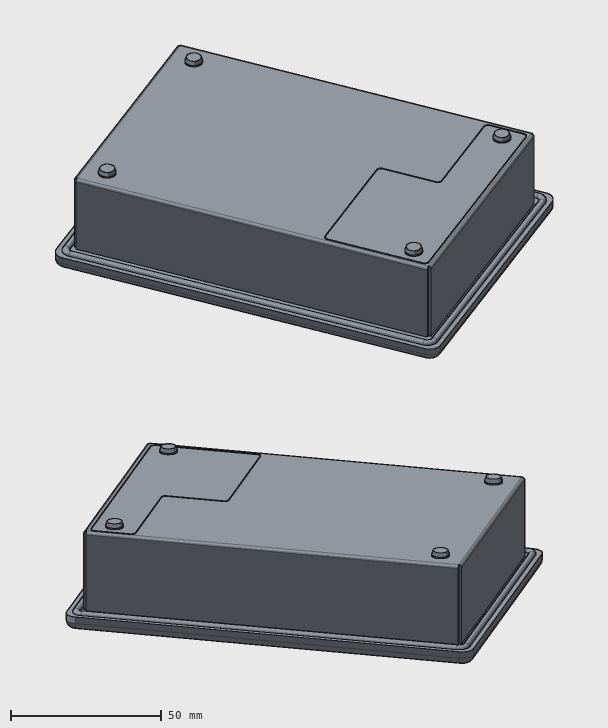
import cadquery as cq

BEZEL_LENGTH = 140.0
BEZEL_WIDTH = 100.0
TOTAL_HEIGHT = 35.4

BEZEL_THICKNESS = 4.9
BEZEL_CORNER_RADIUS = 4.0
BEZEL_EDGE_RADIUS = 2.6

BEAD_INSET = 1.75
BEAD_WIDTH = 2.5
BEAD_HEIGHT = 1.15
BEAD_OUTER_RADIUS = 3.75
BEAD_ROOT = 0.5

HOUSING_LENGTH = 130.0
HOUSING_WIDTH = 87.0
HOUSING_TOP = 33.0
HOUSING_EDGE_RADIUS = 1.0
CORNER_NOTCH = 1.0

COVER_LEFT = 25.4
COVER_STEP_X = 47.8
COVER_RIGHT = 63.0
COVER_STEP_Y = 3.8
COVER_HALF_WIDTH = 41.5
COVER_CORNER_RADIUS = 1.5
SEAM_WIDTH = 0.1
SEAM_DEPTH = 0.2

FOOT_BASE_DIAMETER = 6.0
FOOT_BASE_HEIGHT = 0.5
FOOT_TOP_DIAMETER = 5.0
FOOT_RIM_HEIGHT = 1.9
FOOT_HEIGHT = TOTAL_HEIGHT - HOUSING_TOP
FOOT_CENTERS = [(-56.0, 35.7), (-56.0, -35.7), (56.0, 36.2), (56.0, -36.5)]


def make_bezel():
    """Rounded plate with its bottom rim rounded over."""
    plate = cq.Workplane("XY").box(BEZEL_LENGTH, BEZEL_WIDTH, BEZEL_THICKNESS, centered=(True, True, False))
    plate = plate.edges("|Z").fillet(BEZEL_CORNER_RADIUS)
    return plate.faces("<Z").edges().fillet(BEZEL_EDGE_RADIUS)


def rounded_loop(length, width, radius):
    """Closed rounded rectangle on the bezel top, starting mid-way along its -Y side."""
    x, y = length / 2, width / 2
    return (
        cq.Workplane("XY", origin=(0, 0, BEZEL_THICKNESS))
        .moveTo(0, -y)
        .lineTo(x - radius, -y)
        .radiusArc((x, -y + radius), -radius)
        .lineTo(x, y - radius)
        .radiusArc((x - radius, y), -radius)
        .lineTo(-x + radius, y)
        .radiusArc((-x, y - radius), -radius)
        .lineTo(-x, -y + radius)
        .radiusArc((-x + radius, -y), -radius)
        .close()
    )


def make_bead():
    """Round-topped profile swept round the bezel top."""
    half_width = BEAD_WIDTH / 2
    centerline_inset = BEAD_INSET + half_width
    length = BEZEL_LENGTH - 2 * centerline_inset
    width = BEZEL_WIDTH - 2 * centerline_inset
    path = rounded_loop(length, width, BEAD_OUTER_RADIUS - half_width)
    profile = (
        cq.Workplane("YZ", origin=(0, -width / 2, BEZEL_THICKNESS))
        .moveTo(-half_width, -BEAD_ROOT)
        .lineTo(-half_width, 0)
        .threePointArc((0, BEAD_HEIGHT), (half_width, 0))
        .lineTo(half_width, -BEAD_ROOT)
        .close()
    )
    return profile.sweep(path)


def make_housing():
    """Box with rounded top edges and a square notch down each vertical corner."""
    box = (
        cq.Workplane("XY")
        .box(HOUSING_LENGTH, HOUSING_WIDTH, HOUSING_TOP, centered=(True, True, False))
        .faces(">Z")
        .edges()
        .fillet(HOUSING_EDGE_RADIUS)
    )
    notches = (
        cq.Workplane("XY", origin=(0, 0, BEZEL_THICKNESS))
        .rect(HOUSING_LENGTH, HOUSING_WIDTH, forConstruction=True)
        .vertices()
        .rect(2 * CORNER_NOTCH, 2 * CORNER_NOTCH)
        .extrude(HOUSING_TOP - BEZEL_THICKNESS)
    )
    return box.cut(notches)


def cover_panel(offset):
    """L-shaped panel as deep as the seam, grown outward by the offset."""
    left = COVER_LEFT - offset
    step_x = COVER_STEP_X - offset
    right = COVER_RIGHT + offset
    step_y = COVER_STEP_Y + offset
    half_width = COVER_HALF_WIDTH + offset
    corners = [
        (left, -half_width),
        (right, -half_width),
        (right, half_width),
        (step_x, half_width),
        (step_x, step_y),
        (left, step_y),
    ]
    panel = cq.Workplane("XY", origin=(0, 0, HOUSING_TOP)).polyline(corners).close().extrude(-SEAM_DEPTH)
    return panel.edges("|Z").fillet(COVER_CORNER_RADIUS)


def make_seam():
    """Thin band between the cover and the surrounding housing."""
    return cover_panel(SEAM_WIDTH).cut(cover_panel(0))


def make_foot(center):
    """Round stud with a short straight base, a tapered rim and a low domed top."""
    base_radius = FOOT_BASE_DIAMETER / 2
    top_radius = FOOT_TOP_DIAMETER / 2
    dome_height = FOOT_HEIGHT - FOOT_RIM_HEIGHT
    sphere_radius = (top_radius**2 + dome_height**2) / (2 * dome_height)
    return (
        cq.Workplane("XZ", origin=(*center, HOUSING_TOP))
        .lineTo(base_radius, 0)
        .lineTo(base_radius, FOOT_BASE_HEIGHT)
        .lineTo(top_radius, FOOT_RIM_HEIGHT)
        .radiusArc((0, FOOT_HEIGHT), -sphere_radius)
        .close()
        .revolve(360, (0, 0), (0, 1))
    )


result = make_bezel().union(make_bead()).union(make_housing()).cut(make_seam())
for foot_center in FOOT_CENTERS:
    result = result.union(make_foot(foot_center))